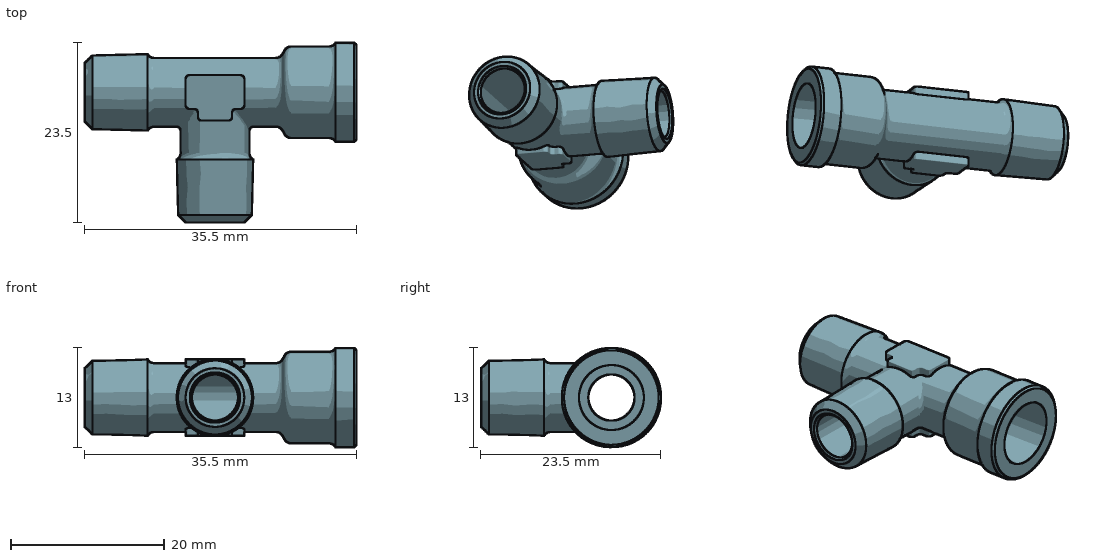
import cadquery as cq
import math

PIPE_R = 9.0 / 2
BORE_R = 6.0 / 2
BORE_MOUTH_R = 6.55 / 2

BLEND_R = 1.0
BLEND_ANGLE = math.radians(60)
BLEND_LENGTH = BLEND_R * math.sin(BLEND_ANGLE)
BLEND_RISE = BLEND_R * (1 - math.cos(BLEND_ANGLE))

MALE_REACH = 17.0
MALE_TIP_R = 4.83
MALE_TAPER_LENGTH = 7.2
MALE_CHAMFER = 1.0

SOCKET_REACH = 35.5 - MALE_REACH
SOCKET_R = 12.0 / 2
COLLAR_R = SOCKET_R + BLEND_RISE
SOCKET_BORE_R = 8.5 / 2
SOCKET_START = 7.95
COLLAR_START = 15.75
COLLAR_CHAMFER = 0.32
SOCKET_BORE_DEPTH = 8.52

PAD_HALF_HEIGHT = 5.0
PAD_HALF_WIDTH = 3.85
PAD_BACK_Y = 2.25
PAD_SHOULDER_Y = -2.15
PAD_STEM_HALF_WIDTH = 2.25
PAD_STEM_Y = -3.7
PAD_CORNER_R = 0.5
PAD_EDGE_R = 0.1

CROTCH_R = 0.5


def spin(profile):
    """Revolve a closed half profile about the X axis."""
    return profile.close().revolve(360, (0, 0, 0), (1, 0, 0))


def male_arm():
    tip_start = MALE_REACH - MALE_CHAMFER
    root = tip_start - MALE_TAPER_LENGTH
    return spin(
        cq.Workplane("XY")
        .lineTo(0, PIPE_R)
        .lineTo(root - BLEND_LENGTH, PIPE_R)
        .tangentArcPoint((root, PIPE_R + BLEND_RISE), relative=False)
        .lineTo(tip_start, MALE_TIP_R)
        .lineTo(MALE_REACH, MALE_TIP_R - MALE_CHAMFER)
        .lineTo(MALE_REACH, 0)
    )


def socket_arm():
    cone_length = (SOCKET_R - PIPE_R - 2 * BLEND_RISE) / math.tan(BLEND_ANGLE)
    cone_start = SOCKET_START + BLEND_LENGTH
    cone_end = cone_start + cone_length
    return spin(
        cq.Workplane("XY")
        .lineTo(0, PIPE_R)
        .lineTo(SOCKET_START, PIPE_R)
        .tangentArcPoint((cone_start, PIPE_R + BLEND_RISE), relative=False)
        .lineTo(cone_end, SOCKET_R - BLEND_RISE)
        .tangentArcPoint((cone_end + BLEND_LENGTH, SOCKET_R), relative=False)
        .lineTo(COLLAR_START - BLEND_LENGTH, SOCKET_R)
        .tangentArcPoint((COLLAR_START, COLLAR_R), relative=False)
        .lineTo(SOCKET_REACH - COLLAR_CHAMFER, COLLAR_R)
        .lineTo(SOCKET_REACH, COLLAR_R - COLLAR_CHAMFER)
        .lineTo(SOCKET_REACH, 0)
    )


def male_bore():
    mouth_depth = BORE_MOUTH_R - BORE_R
    return spin(
        cq.Workplane("XY")
        .lineTo(0, BORE_R)
        .lineTo(MALE_REACH - mouth_depth, BORE_R)
        .lineTo(MALE_REACH, BORE_MOUTH_R)
        .lineTo(MALE_REACH, 0)
    )


def socket_bore():
    step = SOCKET_REACH - SOCKET_BORE_DEPTH
    return spin(
        cq.Workplane("XY")
        .lineTo(0, BORE_R)
        .lineTo(step, BORE_R)
        .lineTo(step, SOCKET_BORE_R)
        .lineTo(SOCKET_REACH, SOCKET_BORE_R)
        .lineTo(SOCKET_REACH, 0)
    )


def to_left(arm):
    return arm.rotate((0, 0, 0), (0, 0, 1), 180)


def to_branch(arm):
    return arm.rotate((0, 0, 0), (0, 0, 1), -90)


def pads():
    """One T-shaped prism through the crossing; its two ends are the pads."""
    half_outline = [
        (PAD_HALF_WIDTH, PAD_BACK_Y),
        (PAD_HALF_WIDTH, PAD_SHOULDER_Y),
        (PAD_STEM_HALF_WIDTH, PAD_SHOULDER_Y),
        (PAD_STEM_HALF_WIDTH, PAD_STEM_Y),
    ]
    mirrored = [(-x, y) for x, y in reversed(half_outline)]
    return (
        cq.Workplane("XY")
        .polyline(half_outline + mirrored)
        .close()
        .extrude(PAD_HALF_HEIGHT, both=True)
        .edges("|Z").fillet(PAD_CORNER_R)
        .faces("<Z or >Z").edges().fillet(PAD_EDGE_R)
    )


def crotch_fillet(body):
    """Round the elliptical seams where the branch leaves the run."""
    return body.edges("%ELLIPSE").fillet(CROTCH_R)


body = socket_arm().union(to_left(male_arm())).union(to_branch(male_arm()))
body = crotch_fillet(body)
body = body.union(pads())
result = body.cut(socket_bore()).cut(to_left(male_bore())).cut(to_branch(male_bore()))